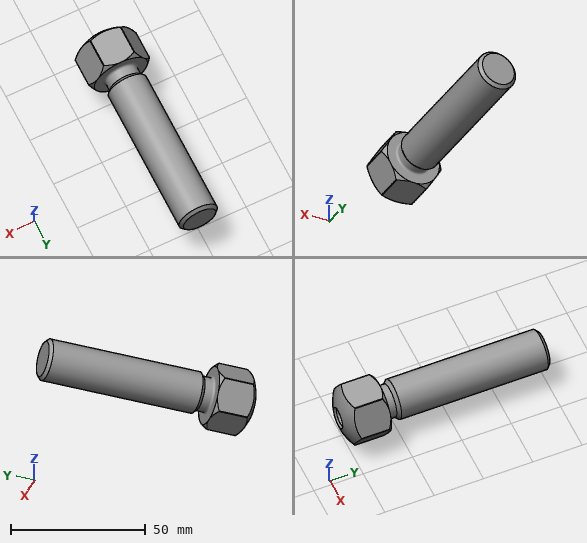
import cadquery as cq
import math

total_length = 83.0
head_back = 16.9
neck_length = 5.4

across_flats = 22.0
across_corners = 25.2
dome_radius = 19.9
head_chamfer = 1.6

shank_radius = 15.9 / 2
neck_radius = 13.2 / 2
neck_fillet = 0.9
end_chamfer = 1.25

hole_radius = 6.8 / 2
countersink_radius = 8.5 / 2
hole_depth = 16.6
drill_point_angle = 118.0

corner_radius = across_corners / 2


def dome_sag(radius):
    """Axial drop of the dome from its apex at a given radius."""
    return dome_radius - math.sqrt(dome_radius**2 - radius**2)


dome_apex = -dome_sag(countersink_radius)
dome_edge = dome_apex + dome_sag(corner_radius)


def revolve_about_axis(outline):
    """Turn a (radius, y) outline about the bolt axis."""
    return outline.close().revolve(360, (0, 0, 0), (0, 1, 0))


def make_head():
    """Hexagon trimmed by a domed, chamfered round blank."""
    dome_mid_radius = corner_radius / 2
    blank = revolve_about_axis(
        cq.Workplane("XY")
        .moveTo(0, dome_apex)
        .threePointArc((dome_mid_radius, dome_apex + dome_sag(dome_mid_radius)), (corner_radius, dome_edge))
        .lineTo(corner_radius, head_back - head_chamfer)
        .lineTo(corner_radius - head_chamfer, head_back)
        .lineTo(0, head_back)
    )
    hexagon = (
        cq.Workplane("XZ", origin=(0, dome_apex, 0))
        .polygon(6, across_flats / math.cos(math.pi / 6))
        .extrude(-(head_back - dome_apex))
    )
    return hexagon.intersect(blank)


def make_shank():
    """Round shank with a filleted undercut neck and a chamfered free end."""
    shoulder = head_back + neck_length
    neck_end = shoulder - (shank_radius - neck_radius)
    arc_offset = 1 - math.sqrt(0.5)
    fillet_mid = (neck_radius + neck_fillet * arc_offset, head_back + neck_fillet * arc_offset)
    return revolve_about_axis(
        cq.Workplane("XY")
        .moveTo(0, head_back)
        .lineTo(neck_radius + neck_fillet, head_back)
        .threePointArc(fillet_mid, (neck_radius, head_back + neck_fillet))
        .lineTo(neck_radius, neck_end)
        .lineTo(shank_radius, shoulder)
        .lineTo(shank_radius, total_length - end_chamfer)
        .lineTo(shank_radius - end_chamfer, total_length)
        .lineTo(0, total_length)
    )


def make_hole():
    """Blind drilled hole with a conical bottom and a 45 degree countersink."""
    countersink_depth = countersink_radius - hole_radius
    point_depth = hole_radius / math.tan(math.radians(drill_point_angle / 2))
    return revolve_about_axis(
        cq.Workplane("XY")
        .moveTo(0, dome_apex)
        .lineTo(countersink_radius, dome_apex)
        .lineTo(countersink_radius, 0)
        .lineTo(hole_radius, countersink_depth)
        .lineTo(hole_radius, hole_depth)
        .lineTo(0, hole_depth + point_depth)
    )


bolt = make_head().union(make_shank()).cut(make_hole())

result = bolt.translate((0, -total_length / 2, 0))